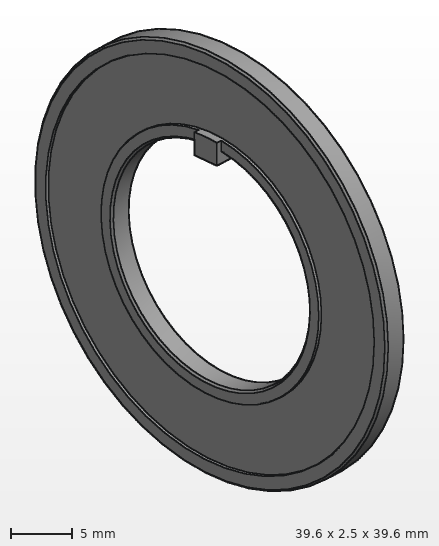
import cadquery as cq

outer_radius = 19.8
bore_radius = 11.0
thickness = 2.0
edge_chamfer = 0.2

recess_outer_radius = 18.4
recess_inner_radius = 12.2
recess_depth = 0.3

tab_width = 2.55
tab_height = 0.5
tab_bottom = 9.98


def make_disc(radius, front, back):
    """Solid disc on the ring axis between two Y positions."""
    return cq.Workplane("XZ", origin=(0, back, 0)).circle(radius).extrude(back - front)


def make_ring():
    """Flat ring with both front edges chamfered."""
    ring = make_disc(outer_radius, 0, thickness).cut(make_disc(bore_radius, 0, thickness))
    return ring.faces("<Y").edges().chamfer(edge_chamfer)


def make_recess():
    """Shallow annular volume removed from the front face."""
    outer = make_disc(recess_outer_radius, 0, recess_depth)
    return outer.cut(make_disc(recess_inner_radius, 0, recess_depth))


def make_tab():
    """Tab reaching into the bore, with its top rounded to the lip's outer radius."""
    tab_length = tab_height + thickness
    block = cq.Workplane("XY").box(
        tab_width, tab_length, recess_inner_radius - tab_bottom, centered=(True, False, False)
    ).translate((0, -tab_height, tab_bottom))
    return block.intersect(make_disc(recess_inner_radius, -tab_height, thickness))


result = make_ring().cut(make_recess()).union(make_tab())